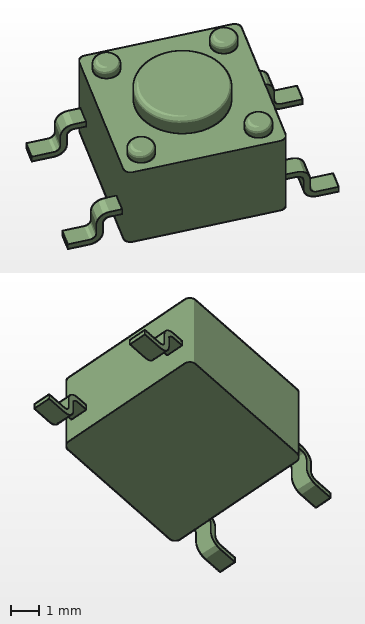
import cadquery as cq

body_side = 6.0
body_bottom = 0.1
body_top = 3.65
body_corner_radius = 0.27

button_radius = 1.75
button_top = 4.38
button_edge_radius = 0.2

peg_radius = 0.5
peg_top = 4.07
peg_edge_radius = 0.2
peg_spacing = 4.33

lead_span = 10.0
lead_spacing = 4.5
lead_width = 0.7
lead_thickness = 0.25
lead_top = 1.45
lead_shank_outer = 3.95
bend_outer_radius = 0.5
bend_inner_radius = bend_outer_radius - lead_thickness


def make_body():
    """Square housing with rounded vertical edges."""
    height = body_top - body_bottom
    block = cq.Workplane("XY").workplane(offset=body_bottom).rect(body_side, body_side).extrude(height)
    return block.edges("|Z").fillet(body_corner_radius)


def make_raised_disc(radius, top, edge_radius):
    """Round-edged disc standing on the housing top."""
    disc = cq.Workplane("XY").workplane(offset=body_top).circle(radius).extrude(top - body_top)
    return disc.faces(">Z").edges().fillet(edge_radius)


def make_lead():
    """S-shaped lead on the +Y side, centred on X = 0."""
    wall = body_side / 2
    tip = lead_span / 2
    shank_inner = lead_shank_outer - lead_thickness
    strip = (
        cq.Workplane("YZ")
        .moveTo(wall, lead_top)
        .lineTo(lead_shank_outer - bend_outer_radius, lead_top)
        .radiusArc((lead_shank_outer, lead_top - bend_outer_radius), bend_outer_radius)
        .lineTo(lead_shank_outer, lead_thickness + bend_inner_radius)
        .radiusArc((lead_shank_outer + bend_inner_radius, lead_thickness), -bend_inner_radius)
        .lineTo(tip, lead_thickness)
        .lineTo(tip, 0)
        .lineTo(shank_inner + bend_outer_radius, 0)
        .radiusArc((shank_inner, bend_outer_radius), bend_outer_radius)
        .lineTo(shank_inner, lead_top - bend_outer_radius)
        .radiusArc((shank_inner - bend_inner_radius, lead_top - lead_thickness), -bend_inner_radius)
        .lineTo(wall, lead_top - lead_thickness)
        .close()
    )
    return strip.extrude(lead_width / 2, both=True)


result = make_body().union(make_raised_disc(button_radius, button_top, button_edge_radius))

peg = make_raised_disc(peg_radius, peg_top, peg_edge_radius)
rear_lead = make_lead()
front_lead = rear_lead.mirror("XZ")
for x_side in (-1, 1):
    for y_side in (-1, 1):
        result = result.union(peg.translate((x_side * peg_spacing / 2, y_side * peg_spacing / 2, 0)))
    for lead in (rear_lead, front_lead):
        result = result.union(lead.translate((x_side * lead_spacing / 2, 0, 0)))